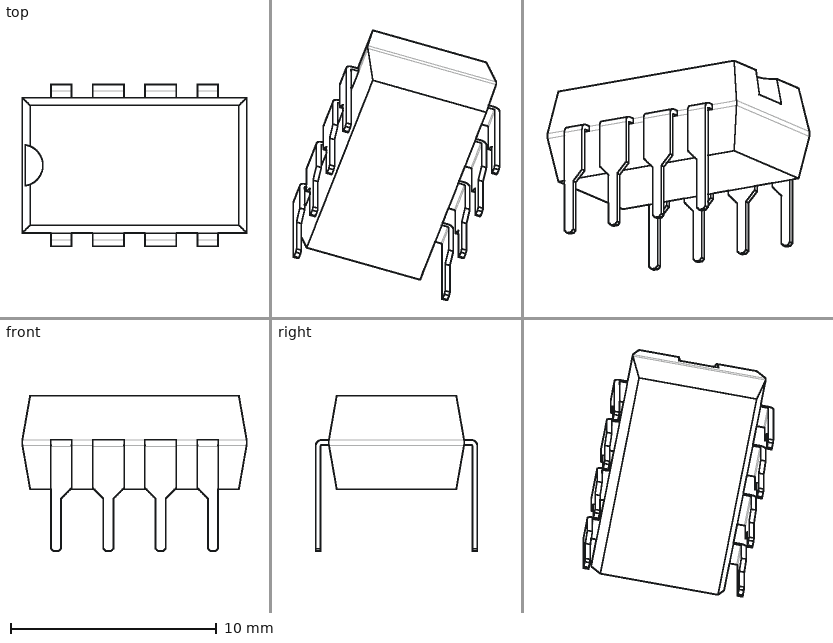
import cadquery as cq
import math


body_length = 10.92
body_width = 6.58
body_height = 4.56
draft_angle = 10.0

notch_radius = 1.0
notch_depth = 1.3

leads_per_row = 4
lead_pitch = 2.54
lead_thickness = 0.25
lead_span = 7.87
bend_radius = 0.31
pin_width = 0.5
shoulder_step = 0.51
tip_chamfer = pin_width / 4
overall_height = 7.57

taper_height = (body_height - lead_thickness) / 2
taper_inset = taper_height * math.tan(math.radians(draft_angle))
lead_bottom_z = taper_height
lead_top_z = lead_bottom_z + lead_thickness
tip_z = body_height - overall_height
pin_top_z = -0.45


def tapered_half(start_z, end_z):
    """Half of the body, narrowing from the band at start_z to the flat face at end_z."""
    return (
        cq.Workplane("XY", origin=(0, 0, start_z))
        .rect(body_length, body_width)
        .workplane(offset=end_z - start_z)
        .rect(body_length - 2 * taper_inset, body_width - 2 * taper_inset)
        .loft(ruled=True)
    )


def make_body():
    band = (
        cq.Workplane("XY", origin=(0, 0, lead_bottom_z))
        .rect(body_length, body_width)
        .extrude(lead_thickness)
    )
    body = band.union(tapered_half(lead_top_z, body_height)).union(tapered_half(lead_bottom_z, 0))
    notch = (
        cq.Workplane("XY", origin=(-body_length / 2, 0, body_height))
        .circle(notch_radius)
        .extrude(-notch_depth)
    )
    return body.cut(notch)


def make_bent_strip():
    """Bent sheet section of both rows, running through the body, along its full length."""
    outer_y = lead_span / 2
    inner_y = outer_y - lead_thickness
    outer = (
        cq.Workplane("XY", origin=(0, 0, tip_z))
        .box(body_length, 2 * outer_y, lead_top_z - tip_z, centered=(True, True, False))
        .edges("|X and >Z")
        .fillet(bend_radius)
    )
    inner = (
        cq.Workplane("XY", origin=(0, 0, tip_z))
        .box(body_length, 2 * inner_y, lead_bottom_z - tip_z, centered=(True, True, False))
        .edges("|X and >Z")
        .fillet(bend_radius - lead_thickness)
    )
    return outer.cut(inner)


def extrude_across(outline):
    """Extrude a closed X-Z outline over the full span of the two rows."""
    return cq.Workplane("XZ").polyline(outline).close().extrude(lead_span / 2, both=True)


def make_lead_blank(center_x, shoulder_sides):
    """Pin outline plus its 45 degree shoulders, extruded across both rows."""
    half_pin = pin_width / 2
    half_tip = half_pin - tip_chamfer
    pin = [
        (center_x - half_pin, lead_top_z),
        (center_x - half_pin, tip_z + tip_chamfer),
        (center_x - half_tip, tip_z),
        (center_x + half_tip, tip_z),
        (center_x + half_pin, tip_z + tip_chamfer),
        (center_x + half_pin, lead_top_z),
    ]
    blank = extrude_across(pin)
    for side in shoulder_sides:
        pin_x = center_x + side * half_pin
        shoulder_x = pin_x + side * shoulder_step
        shoulder = [
            (center_x, lead_top_z),
            (center_x, pin_top_z),
            (pin_x, pin_top_z),
            (shoulder_x, pin_top_z + shoulder_step),
            (shoulder_x, lead_top_z),
        ]
        blank = blank.union(extrude_across(shoulder))
    return blank


def add_leads(body):
    """Join the lead pairs to the body; the end leads have a shoulder on their inner side only."""
    strip = make_bent_strip()
    last = leads_per_row - 1
    for index in range(leads_per_row):
        center_x = (index - last / 2) * lead_pitch
        shoulder_sides = []
        if index > 0:
            shoulder_sides.append(-1)
        if index < last:
            shoulder_sides.append(1)
        body = body.union(strip.intersect(make_lead_blank(center_x, shoulder_sides)))
    return body


result = add_leads(make_body())